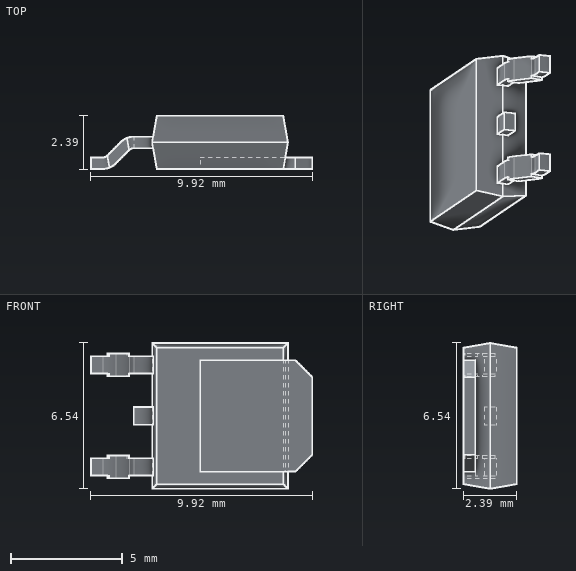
import cadquery as cq
import math

overall_length = 9.92

body_length = 6.09
body_height = 6.54
body_depth = 2.39
draft_angle = 10.0
half_depth = body_depth / 2
draft_inset = half_depth * math.tan(math.radians(draft_angle))

metal_thickness = 0.53
mount_y = -half_depth

tab_length = 5.02
tab_height = 5.0
tab_chamfer = 0.76
tab_end_x = 4.14

lead_tip_x = tab_end_x - overall_length
lead_width = 0.78
wide_width = 1.03
lead_pitch = 2.28
foot_length = 0.53
bend_angle = 45.0
inner_radius = 0.3
outer_radius = inner_radius + metal_thickness
wide_end_tilt = 10.0

pin_width = 0.8
pin_setback = 1.91
pin_start_x = lead_tip_x + pin_setback


def make_body_half(side):
    """Half of the body, narrowing from Y = 0 towards side * Y."""
    return (
        cq.Workplane("XZ")
        .rect(body_length, body_height)
        .workplane(offset=-side * half_depth)
        .rect(body_length - 2 * draft_inset, body_height - 2 * draft_inset)
        .loft(ruled=True)
    )


def make_body_blank():
    return make_body_half(1).union(make_body_half(-1))


def make_tab():
    """Flat plate with its two free corners cut off."""
    return (
        cq.Workplane("XY")
        .box(tab_length, metal_thickness, tab_height, centered=(False, False, True))
        .translate((tab_end_x - tab_length, mount_y, 0))
        .edges("|Y and >X")
        .chamfer(tab_chamfer)
    )


def arc_point(center, radius, degrees):
    angle = math.radians(degrees)
    return (center[0] + radius * math.cos(angle), center[1] + radius * math.sin(angle))


def make_lead(blank, center_z):
    """Gull-wing lead with a wider sloping middle, ending on the body wall."""
    half_metal = metal_thickness / 2
    foot_top = mount_y + metal_thickness

    middle_radius = inner_radius + half_metal
    rise = -(mount_y + half_metal)
    sine = math.sin(math.radians(bend_angle))
    cosine = math.cos(math.radians(bend_angle))
    slope_length = (rise - 2 * middle_radius * (1 - cosine)) / sine
    run = 2 * middle_radius * sine + slope_length * cosine
    low_center = (lead_tip_x + foot_length, foot_top + inner_radius)
    high_center = (low_center[0] + run, half_metal - outer_radius)

    low_end = -90 + bend_angle
    low_middle = -90 + bend_angle / 2
    high_end = 90 + bend_angle
    high_middle = 90 + bend_angle / 2
    low_inner_end = arc_point(low_center, inner_radius, low_end)
    high_inner_end = arc_point(high_center, inner_radius, high_end)

    def extrude_profile(width):
        return (
            cq.Workplane("XY", origin=(0, 0, center_z))
            .moveTo(lead_tip_x, mount_y)
            .lineTo(low_center[0], mount_y)
            .threePointArc(
                arc_point(low_center, outer_radius, low_middle),
                arc_point(low_center, outer_radius, low_end),
            )
            .lineTo(*high_inner_end)
            .threePointArc(
                arc_point(high_center, inner_radius, high_middle),
                (high_center[0], -half_metal),
            )
            .lineTo(0, -half_metal)
            .lineTo(0, half_metal)
            .lineTo(high_center[0], half_metal)
            .threePointArc(
                arc_point(high_center, outer_radius, high_middle),
                arc_point(high_center, outer_radius, high_end),
            )
            .lineTo(*low_inner_end)
            .threePointArc(
                arc_point(low_center, inner_radius, low_middle),
                (low_center[0], foot_top),
            )
            .lineTo(lead_tip_x, foot_top)
            .close()
            .extrude(width / 2, both=True)
        )

    def tilted_point(start, y):
        return (start[0] - (y - start[1]) * math.tan(math.radians(wide_end_tilt)), y)

    wide_band = (
        cq.Workplane("XY", origin=(0, 0, center_z))
        .polyline([
            tilted_point(low_inner_end, mount_y),
            tilted_point(high_inner_end, mount_y),
            tilted_point(high_inner_end, half_metal),
            tilted_point(low_inner_end, half_metal),
        ])
        .close()
        .extrude(wide_width / 2, both=True)
    )
    wide_part = extrude_profile(wide_width).intersect(wide_band)
    return extrude_profile(lead_width).union(wide_part).cut(blank)


def make_center_pin(blank):
    """Straight cropped pin, ending on the body wall."""
    return (
        cq.Workplane("XY")
        .box(-pin_start_x, metal_thickness, pin_width, centered=(False, True, True))
        .translate((pin_start_x, 0, 0))
        .cut(blank)
    )


body_blank = make_body_blank()
tab = make_tab()
body = body_blank.cut(tab)
center_pin = make_center_pin(body_blank)
leads = [make_lead(body_blank, side * lead_pitch) for side in (-1, 1)]

result = cq.Compound.makeCompound(
    [body.val(), tab.val(), center_pin.val(), *[lead.val() for lead in leads]]
)